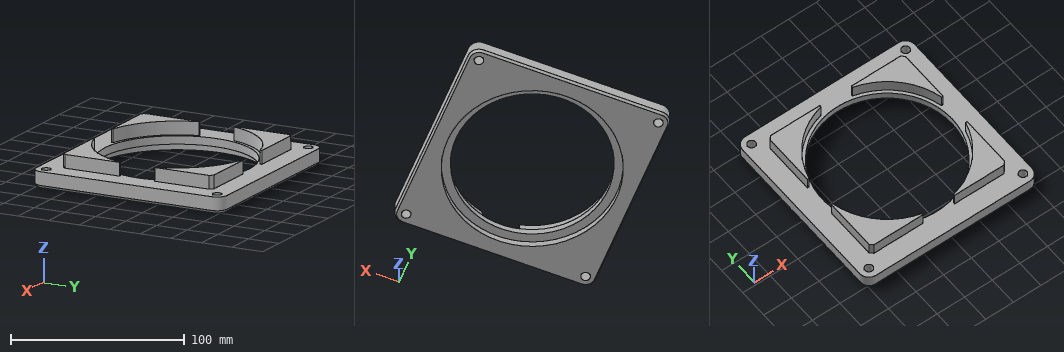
import cadquery as cq

plate_side = 125.0
plate_height = 10.0
corner_radius = 6.8
bottom_chamfer_height = 1.8
bottom_chamfer_inset = 1.1

opening_diameter = 94.4
recess_diameter = 105.0
recess_depth = plate_height / 2

screw_spacing = 111.8
screw_hole_diameter = 5.5

pad_height = 8.2
pad_square_side = 98.4
pad_bore_diameter = 98.8
pad_gap = 22.9
pad_chamfer = 2.0


def make_plate():
    """Square plate with rounded corners and a chamfered bottom edge."""
    return (
        cq.Workplane("XY")
        .rect(plate_side, plate_side)
        .extrude(plate_height)
        .edges("|Z")
        .fillet(corner_radius)
        .faces("<Z")
        .chamfer(bottom_chamfer_height, bottom_chamfer_inset)
    )


def make_opening():
    """Round through opening together with the wider recess under it."""
    opening = cq.Workplane("XY").circle(opening_diameter / 2).extrude(plate_height)
    recess = cq.Workplane("XY").circle(recess_diameter / 2).extrude(recess_depth)
    return opening.union(recess)


def make_screw_holes():
    """One through hole near each corner of the plate."""
    return (
        cq.Workplane("XY")
        .rect(screw_spacing, screw_spacing, forConstruction=True)
        .vertices()
        .circle(screw_hole_diameter / 2)
        .extrude(plate_height)
    )


def make_pads():
    """Four corner pads left from a chamfered square by a bore and two crossing gaps."""
    plate_top = cq.Workplane("XY").workplane(offset=plate_height)
    square = (
        plate_top.rect(pad_square_side, pad_square_side)
        .extrude(pad_height)
        .edges("|Z")
        .chamfer(pad_chamfer)
    )
    bore = plate_top.circle(pad_bore_diameter / 2).extrude(pad_height)
    gap_along_x = plate_top.rect(plate_side, pad_gap).extrude(pad_height)
    gap_along_y = plate_top.rect(pad_gap, plate_side).extrude(pad_height)
    return square.cut(bore).cut(gap_along_x).cut(gap_along_y)


result = make_plate().cut(make_opening()).cut(make_screw_holes()).union(make_pads())